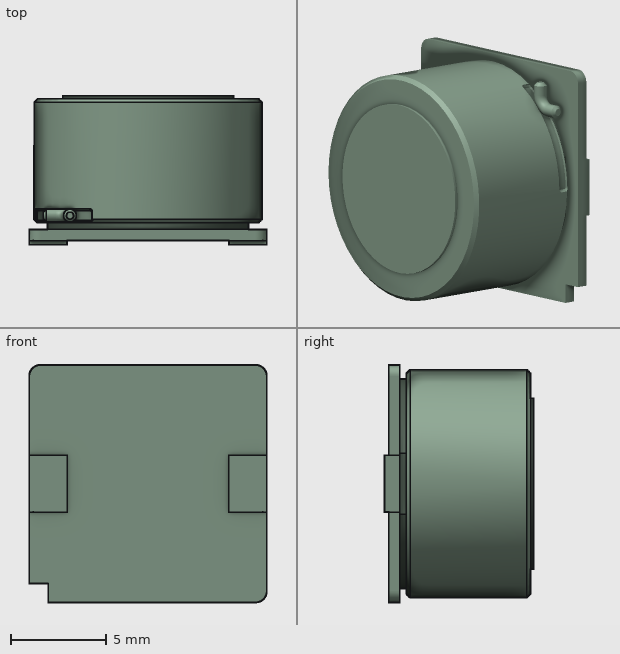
import cadquery as cq
import math

plate_side = 12.5
plate_corner_radius = 0.6
plate_notch = 1.0
plate_thickness = 0.59

terminal_length = 2.0
terminal_height = 3.0
terminal_thickness = 0.22

flange_radius = 5.52
flange_flat_distance = 5.29
flange_thickness = 0.34
post_radius = 4.5
post_protrusion = 0.16

shell_radius = 6.0
shell_length = 6.54
shell_chamfer = 0.2

recess_start_angle = 119.4
recess_end_angle = 180.8
recess_depth = 0.19
recess_width = 0.7
recess_front_wall = 0.04
recess_corner_radius = 0.19
recess_floor_slope = 0.1

lead_diameter = 0.68
lead_bend_radius = 0.72
lead_leg_length = 0.68
lead_end_chamfer = 0.15
lead_bend_centre = 4.82

plate_front = terminal_thickness
plate_back = plate_front + plate_thickness
shell_front = plate_back + flange_thickness
shell_back = shell_front + shell_length
recess_front = shell_front + recess_front_wall
recess_back = recess_front + recess_width
lead_y = (recess_front + recess_back) / 2


def disc(radius, y_start, y_end):
    """Cylinder on the Y axis between two Y positions."""
    return cq.Workplane("XZ", origin=(0, y_start, 0)).circle(radius).extrude(y_start - y_end)


def block(x_range, y_range, z_range):
    """Box between the given limits."""
    limits = (x_range, y_range, z_range)
    size = [high - low for low, high in limits]
    corner = [low for low, high in limits]
    return cq.Workplane("XY").box(*size, centered=False).translate(tuple(corner))


def make_terminal(side):
    """L-shaped pad on the side of the plate given by the sign of X."""
    edge = plate_side / 2
    z_range = (-terminal_height / 2, terminal_height / 2)
    pad = block((edge - terminal_length, edge), (0, plate_front), z_range)
    wall = block((edge - terminal_thickness, edge), (0, plate_back), z_range)
    terminal = pad.union(wall)
    if side < 0:
        terminal = terminal.mirror("YZ")
    return terminal


def make_plate(terminals):
    """Square plate with three round corners, one notched corner and seats for the terminals."""
    half = plate_side / 2
    plate = block((-half, half), (plate_front, plate_back), (-half, half))
    plate = plate.edges("|Y").edges(">X or >Z").fillet(plate_corner_radius)
    notch = block((-half, plate_notch - half), (plate_front, plate_back), (-half, plate_notch - half))
    plate = plate.cut(notch)
    for terminal in terminals:
        plate = plate.cut(terminal)
    return plate


def make_core():
    """Flange with flats facing -X and +X, and the central post."""
    flats = block(
        (-flange_flat_distance, flange_flat_distance),
        (plate_back, shell_front),
        (-flange_radius, flange_radius),
    )
    flange = disc(flange_radius, plate_back, shell_front).intersect(flats)
    post = disc(post_radius, shell_front, shell_back + post_protrusion)
    return flange.union(post)


def make_recess():
    """Ring sector on the outer wall of the shell, with round corners and sloped sides at the floor."""
    floor_radius = shell_radius - recess_depth
    outer_radius = shell_radius + recess_depth
    sweep_angle = recess_end_angle - recess_start_angle
    recess = (
        cq.Workplane("XY")
        .moveTo(floor_radius, recess_front)
        .lineTo(outer_radius, recess_front)
        .lineTo(outer_radius, recess_back)
        .lineTo(floor_radius, recess_back)
        .close()
        .revolve(sweep_angle, (0, 0, 0), (0, -1, 0))
    )
    recess = recess.edges("%LINE").edges("not |Y").fillet(recess_corner_radius)
    floor = recess.faces(cq.selectors.NearestToPointSelector((0, lead_y, 0)))
    recess = floor.edges().chamfer(recess_floor_slope)
    return recess.rotate((0, 0, 0), (0, -1, 0), recess_start_angle)


def make_shell(lead):
    """Chamfered ring with the recess and a seat for the lead."""
    shell = disc(shell_radius, shell_front, shell_back).faces("<Y or >Y").edges().chamfer(shell_chamfer)
    shell = shell.cut(disc(post_radius, shell_front, shell_back))
    return shell.cut(make_recess()).cut(lead)


def make_lead():
    """Round rod: a leg along X, a quarter bend and a leg along Z."""
    leg_axis = lead_bend_centre - lead_bend_radius
    leg_end = lead_bend_centre + lead_leg_length
    bend_middle = lead_bend_centre - lead_bend_radius * math.sqrt(0.5)
    path = (
        cq.Workplane("XZ", origin=(0, lead_y, 0))
        .moveTo(-leg_end, leg_axis)
        .lineTo(-lead_bend_centre, leg_axis)
        .threePointArc((-bend_middle, bend_middle), (-leg_axis, lead_bend_centre))
        .lineTo(-leg_axis, leg_end)
    )
    lead = cq.Workplane("YZ", origin=(-leg_end, lead_y, leg_axis)).circle(lead_diameter / 2).sweep(path)
    return lead.faces("<X or >Z").edges().chamfer(lead_end_chamfer)


terminals = [make_terminal(side) for side in (-1, 1)]
plate = make_plate(terminals)
core = make_core()
lead = make_lead()
shell = make_shell(lead)

result = cq.Compound.makeCompound(
    [plate.val(), *[terminal.val() for terminal in terminals], core.val(), shell.val(), lead.val()]
)